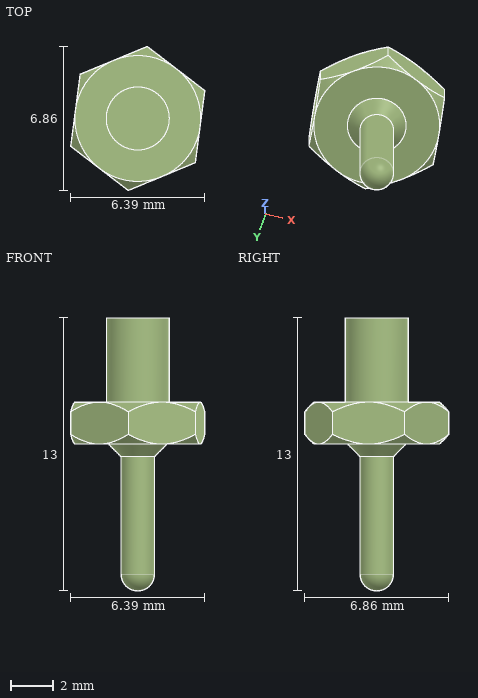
import cadquery as cq
import math

total_length = 13.0
stud_diameter = 3.0
stud_length = 4.0
hex_across_flats = 5.99
hex_thickness = 2.0
hex_corner_angle = 22.5
cone_height = 0.6
pin_diameter = 1.6

pin_radius = pin_diameter / 2
flat_radius = hex_across_flats / 2
corner_radius = flat_radius / math.cos(math.radians(30))
corner_chamfer = corner_radius - flat_radius
pin_tip_z = hex_thickness + stud_length - total_length
dome_z = pin_tip_z + pin_radius
cone_top_radius = pin_radius + cone_height


def make_collar():
    """Hexagonal collar with its corners chamfered on both faces."""
    prism = (
        cq.Workplane("XY")
        .polygon(6, 2 * corner_radius)
        .extrude(hex_thickness)
        .rotate((0, 0, 0), (0, 0, 1), hex_corner_angle)
    )
    chamfered_disc = (
        cq.Workplane("XY")
        .circle(corner_radius)
        .extrude(hex_thickness)
        .faces("<Z or >Z")
        .edges()
        .chamfer(corner_chamfer)
    )
    return prism.intersect(chamfered_disc)


def make_stud():
    """Plain cylinder standing on top of the collar."""
    return (
        cq.Workplane("XY")
        .workplane(offset=hex_thickness)
        .circle(stud_diameter / 2)
        .extrude(stud_length)
    )


def make_pin():
    """Revolved pin with a hemispherical tip and a cone joining the collar."""
    dome_mid = pin_radius * math.sqrt(0.5)
    return (
        cq.Workplane("XZ")
        .moveTo(0, pin_tip_z)
        .threePointArc((dome_mid, dome_z - dome_mid), (pin_radius, dome_z))
        .lineTo(pin_radius, -cone_height)
        .lineTo(cone_top_radius, 0)
        .lineTo(0, 0)
        .close()
        .revolve(360, (0, 0), (0, 1))
    )


result = make_collar().union(make_stud()).union(make_pin())